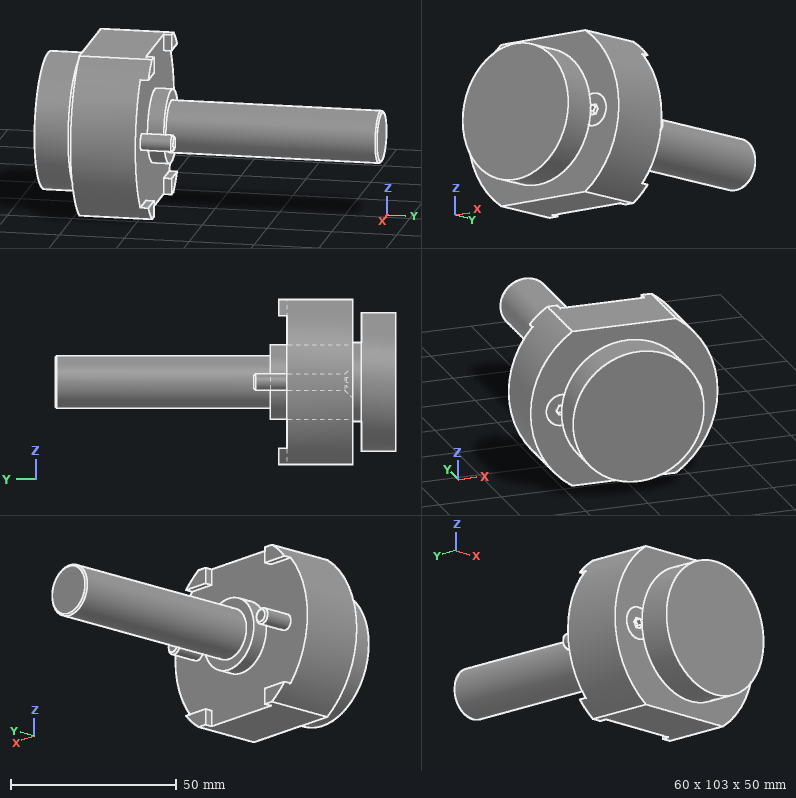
import cadquery as cq
import math

TOTAL_LENGTH = 103.0

HEAD_DIAMETER = 42.0
HEAD_LENGTH = 10.4
NECK_DIAMETER = 24.0
NECK_LENGTH = 2.6
COLLAR_DIAMETER = 22.7
COLLAR_PROJECTION = 5.0
SHAFT_DIAMETER = 16.0
SHAFT_CHAMFER = 0.5

HOUSING_DIAMETER = 60.0
HOUSING_HEIGHT = 50.0
HOUSING_LENGTH = 20.0
LUG_LENGTH = 2.5
UPRIGHT_CHANNEL_WIDTH = 27.0
CROSS_CHANNEL_WIDTH = 40.0

SCREW_SPACING = 40.0
SCREW_DIAMETER = 5.0
SCREW_LENGTH = 30.0
SCREW_HEAD_DIAMETER = 10.0
SCREW_TIP_CHAMFER = 0.6
SOCKET_WIDTH = 3.0
SOCKET_DEPTH = 2.0

housing_front = HEAD_LENGTH + NECK_LENGTH
channel_floor = housing_front + HOUSING_LENGTH
collar_end = channel_floor + COLLAR_PROJECTION


def plane_at(y, x=0):
    """Plane facing +Y, with its local y axis along Z."""
    return cq.Plane(origin=(x, y, 0), xDir=(-1, 0, 0), normal=(0, 1, 0))


def cylinder(diameter, y_start, y_end, x=0):
    return cq.Workplane(plane_at(y_start, x)).circle(diameter / 2).extrude(y_end - y_start)


def make_spindle():
    head = cylinder(HEAD_DIAMETER, 0, HEAD_LENGTH)
    neck = cylinder(NECK_DIAMETER, HEAD_LENGTH, housing_front)
    collar = cylinder(COLLAR_DIAMETER, housing_front, collar_end)
    shaft = cylinder(SHAFT_DIAMETER, collar_end, TOTAL_LENGTH).faces(">Y").chamfer(SHAFT_CHAMFER)
    return head.union(neck).union(collar).union(shaft)


def screw_envelope(x):
    """Solid screw with its flat head flush with the housing front, before the socket is cut."""
    head_radius = SCREW_HEAD_DIAMETER / 2
    shank_radius = SCREW_DIAMETER / 2
    cone_length = head_radius - shank_radius
    return (
        cq.Workplane("XY", origin=(x, housing_front, 0))
        .lineTo(head_radius, 0)
        .lineTo(shank_radius, cone_length)
        .lineTo(shank_radius, SCREW_LENGTH - SCREW_TIP_CHAMFER)
        .lineTo(shank_radius - SCREW_TIP_CHAMFER, SCREW_LENGTH)
        .lineTo(0, SCREW_LENGTH)
        .close()
        .revolve(360, (0, 0, 0), (0, 1, 0))
    )


def make_screw(x):
    corner_diameter = SOCKET_WIDTH / math.cos(math.pi / 6)
    socket = cq.Workplane(plane_at(housing_front, x)).polygon(6, corner_diameter).extrude(SOCKET_DEPTH)
    return screw_envelope(x).cut(socket)


def make_housing():
    body = cylinder(HOUSING_DIAMETER, housing_front, channel_floor + LUG_LENGTH)
    flats = cq.Workplane(plane_at(housing_front)).rect(HOUSING_DIAMETER, HOUSING_HEIGHT)
    body = body.intersect(flats.extrude(HOUSING_LENGTH + LUG_LENGTH))

    floor_plane = cq.Workplane(plane_at(channel_floor))
    upright_channel = floor_plane.rect(UPRIGHT_CHANNEL_WIDTH, HOUSING_HEIGHT).extrude(LUG_LENGTH)
    cross_channel = floor_plane.rect(HOUSING_DIAMETER, CROSS_CHANNEL_WIDTH).extrude(LUG_LENGTH)
    body = body.cut(upright_channel).cut(cross_channel)

    body = body.cut(cylinder(COLLAR_DIAMETER, housing_front, channel_floor))
    for x in screw_positions:
        body = body.cut(screw_envelope(x))
    return body


screw_positions = [-SCREW_SPACING / 2, SCREW_SPACING / 2]
spindle = make_spindle()
housing = make_housing()
screws = [make_screw(x) for x in screw_positions]

result = cq.Compound.makeCompound([spindle.val(), housing.val(), *[screw.val() for screw in screws]])